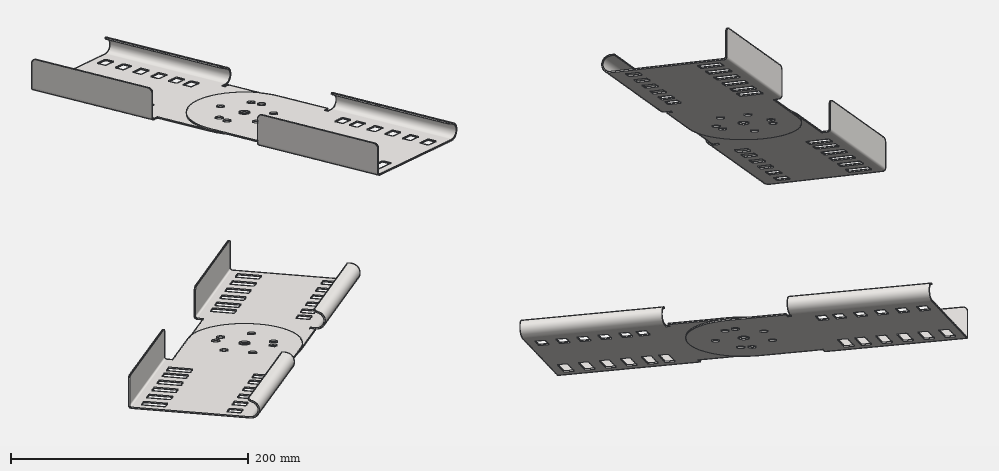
import cadquery as cq
import math

overall_length = 360.0
overall_height = 30.0
sheet = 1.25
plate_width = 113.8
half_width = plate_width / 2
flange_height = overall_height - sheet
joint_swing = 0.1

swing = math.radians(joint_swing)
plate_length = (overall_length - half_width * math.sin(swing)) / (1 + math.cos(swing))

neck_radius = 49.0
wing_length = 125.0
wing_start = plate_length - wing_length
notch_width = 3.2
notch_floor = 44.0

bend_radius = 3.0
flange_corner = 4.0
hook_radius = 8.0
hook_sweep = 163
lip_length = 5.0
lip_corner = 3.0

slot_width = 9.0
even_slot_span = 73.8
even_slot_count = 5
slot_pitch = even_slot_span / (even_slot_count - 1)
last_slot_pitch = 15.0
first_slot_inset = 12.2
slot_corner = 1.0
slot_row_inner = 26.5
hook_slot_length = 12.0
flange_slot_length = 21.0

pivot_hole = 9.5
index_hole = 7.0
index_radius = 25.0
index_angles = (90, -90, 180, 112.5, -112.5, 30, -30)


def floor_profile():
    """Flat blank of the plate between the two bends, with its rounded pivot end."""
    hook_bend = half_width - hook_radius
    flange_bend = -half_width + bend_radius
    notch_start = wing_start - notch_width
    return (
        cq.Workplane("XY")
        .moveTo(0, neck_radius)
        .threePointArc((-neck_radius, 0), (0, -neck_radius))
        .lineTo(wing_start, -neck_radius)
        .lineTo(wing_start, flange_bend)
        .lineTo(plate_length, flange_bend)
        .lineTo(plate_length, hook_bend)
        .lineTo(wing_start, hook_bend)
        .lineTo(wing_start, notch_floor)
        .lineTo(notch_start, notch_floor)
        .lineTo(notch_start, neck_radius)
        .close()
        .extrude(sheet)
    )


def flange():
    """Upright flange on the -Y side with its bend and two rounded upper corners."""
    outer = -half_width
    inner = outer + sheet
    bend_end = outer + bend_radius
    diagonal = math.sqrt(0.5)
    inner_radius = bend_radius - sheet
    upright = (
        cq.Workplane("YZ", origin=(wing_start, 0, 0))
        .moveTo(bend_end, 0)
        .threePointArc(
            (bend_end - bend_radius * diagonal, bend_radius * (1 - diagonal)),
            (outer, bend_radius),
        )
        .lineTo(outer, flange_height)
        .lineTo(inner, flange_height)
        .lineTo(inner, bend_radius)
        .threePointArc(
            (bend_end - inner_radius * diagonal, bend_radius - inner_radius * diagonal),
            (bend_end, sheet),
        )
        .close()
        .extrude(wing_length)
    )
    return upright.faces(">Z").edges("|Y").fillet(flange_corner)


def hook():
    """Rolled hook on the +Y side, ending in a straight lip with cut corners."""
    center_y = half_width - hook_radius
    inner_radius = hook_radius - sheet

    def on_roll(radius, degrees):
        """Point (y, z) of the roll, counted in degrees from its tangent with the floor."""
        angle = math.radians(degrees - 90)
        return center_y + radius * math.cos(angle), hook_radius + radius * math.sin(angle)

    def lip_tip(radius):
        """End (y, z) of the straight lip on the outer or the inner skin."""
        y, z = on_roll(radius, hook_sweep)
        angle = math.radians(hook_sweep)
        return y + lip_length * math.cos(angle), z + lip_length * math.sin(angle)

    rolled = (
        cq.Workplane("YZ", origin=(wing_start, 0, 0))
        .moveTo(*on_roll(hook_radius, 0))
        .threePointArc(on_roll(hook_radius, hook_sweep / 2), on_roll(hook_radius, hook_sweep))
        .lineTo(*lip_tip(hook_radius))
        .lineTo(*lip_tip(inner_radius))
        .lineTo(*on_roll(inner_radius, hook_sweep))
        .threePointArc(on_roll(inner_radius, hook_sweep / 2), on_roll(inner_radius, 0))
        .close()
        .extrude(wing_length)
    )
    tip_y, tip_z = lip_tip((hook_radius + inner_radius) / 2)
    corner_edges = cq.selectors.BoxSelector(
        (wing_start - sheet, tip_y - sheet, tip_z - sheet),
        (plate_length + sheet, tip_y + sheet, tip_z + sheet),
    )
    lip_ends = rolled.edges(corner_edges).edges("not |X")
    return lip_ends.chamfer(lip_corner)


def slot_cutters():
    """Two rows of rectangular slots, the sixth of each row set closer to its neighbour."""
    first = plate_length - first_slot_inset
    places = [first - i * slot_pitch for i in range(even_slot_count)]
    places.append(places[-1] - last_slot_pitch)
    hook_row = slot_row_inner + hook_slot_length / 2
    flange_row = -slot_row_inner - flange_slot_length / 2
    hook_slots = (
        cq.Workplane("XY")
        .pushPoints([(x, hook_row) for x in places])
        .rect(slot_width, hook_slot_length)
        .extrude(sheet)
    )
    flange_slots = (
        cq.Workplane("XY")
        .pushPoints([(x, flange_row) for x in places])
        .rect(slot_width, flange_slot_length)
        .extrude(sheet)
    )
    slots = hook_slots.add(flange_slots).combine()
    return slots.edges("|Z").fillet(slot_corner)


def hole_cutters():
    """Pivot hole and the circle of index holes around it."""
    index_places = [
        (index_radius * math.cos(math.radians(a)), index_radius * math.sin(math.radians(a)))
        for a in index_angles
    ]
    pivot = cq.Workplane("XY").circle(pivot_hole / 2).extrude(sheet)
    index = cq.Workplane("XY").pushPoints(index_places).circle(index_hole / 2).extrude(sheet)
    return pivot.add(index).combine()


def joint_plate():
    """One plate with its floor at Z = 0, reaching from the pivot towards +X."""
    body = floor_profile().union(flange()).union(hook())
    return body.cut(slot_cutters()).cut(hole_cutters())


lower_plate = joint_plate().mirror("YZ")
upper_plate = (
    joint_plate()
    .rotate((0, 0, 0), (0, 0, 1), -joint_swing)
    .translate((0, 0, sheet))
)

result = cq.Compound.makeCompound([lower_plate.solids().val(), upper_plate.solids().val()])